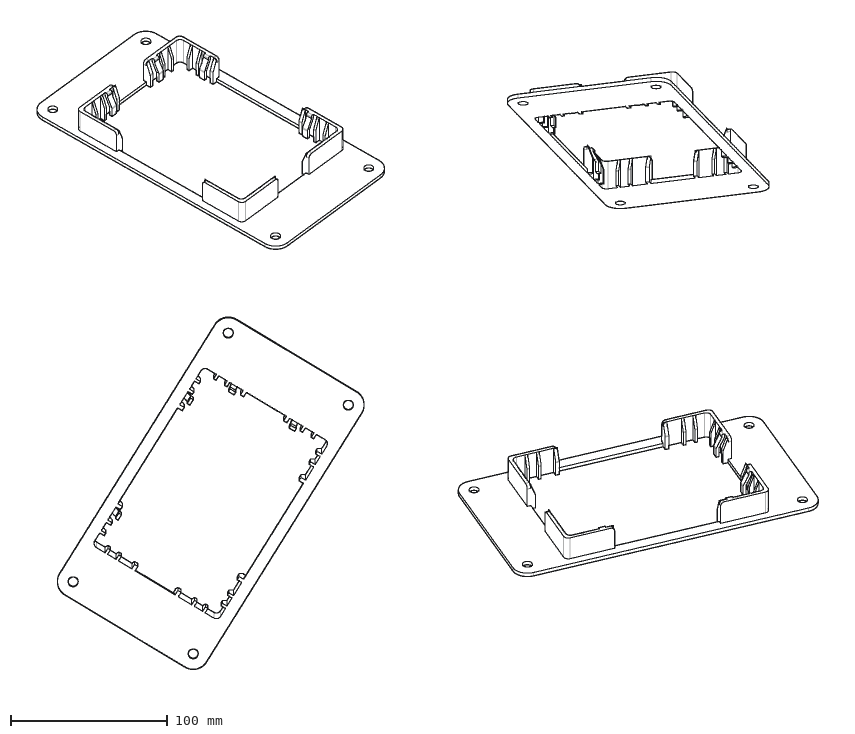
import cadquery as cq

PLATE_LENGTH = 210.0
PLATE_WIDTH = 110.0
PLATE_THICKNESS = 2.7
PLATE_CORNER_RADIUS = 10.0
HOLE_DIAMETER = 6.3

OPENING_HALF_LENGTH = 68.0
OPENING_HALF_WIDTH = 47.0
OPENING_CORNER_RADIUS = 3.2

TOTAL_HEIGHT = 19.0
WALL_THICKNESS = 2.5
WALL_CORNER_RADIUS = 3.2
WALL_TOP_ROUNDING = 2.7
GAP_HALF_LENGTH = 36.5
GAP_HALF_WIDTH = 15.0

RIB_DEPTH = 3.4
RIB_SLOPE_BOTTOM = 10.0
RIB_WIDTH = 1.9
END_RIB_WIDTH = 2.5
RIB_CENTRES_X = (58.0, 50.0)
RIB_CENTRES_Y = (36.5, 28.4)

ARM_DEPTH = 5.9
ARM_WIDTH = 4.2
ARM_STEP_DEPTH = 1.9
ARM_STEP_DROP = 2.3
ARM_SLOPE_BOTTOM = 8.8
ARM_BOTTOM = 2.0
ARM_THICKNESS = 2.0
ARM_CENTRE_X = 43.9
ARM_CENTRE_Y = 22.7

PROJECTION_ROUNDING = 1.0

SIGNS = (-1, 1)
ROOT = WALL_THICKNESS / 2


def make_plate():
    """Rounded plate with a hole concentric with each corner."""
    hole_spacing_x = PLATE_LENGTH - 2 * PLATE_CORNER_RADIUS
    hole_spacing_y = PLATE_WIDTH - 2 * PLATE_CORNER_RADIUS
    plate = cq.Workplane("XY").rect(PLATE_LENGTH, PLATE_WIDTH).extrude(PLATE_THICKNESS)
    plate = plate.edges("|Z").fillet(PLATE_CORNER_RADIUS)
    return (
        plate.faces(">Z").workplane()
        .rect(hole_spacing_x, hole_spacing_y, forConstruction=True)
        .vertices().hole(HOLE_DIAMETER)
    )


def rounded_block(half_length, half_width, radius):
    """Upright block of full height, centred on the part."""
    block = cq.Workplane("XY").rect(2 * half_length, 2 * half_width).extrude(TOTAL_HEIGHT)
    return block.edges("|Z").fillet(radius)


def gap_cutter(plane, half_gap, reach):
    """Cuts a gap through two opposite walls and rounds the wall tops beside it."""
    rounding_start = TOTAL_HEIGHT - WALL_TOP_ROUNDING
    half_top = half_gap + WALL_TOP_ROUNDING
    return (
        cq.Workplane(plane)
        .moveTo(-half_gap, PLATE_THICKNESS)
        .lineTo(half_gap, PLATE_THICKNESS)
        .lineTo(half_gap, rounding_start)
        .radiusArc((half_top, TOTAL_HEIGHT), WALL_TOP_ROUNDING)
        .lineTo(-half_top, TOTAL_HEIGHT)
        .radiusArc((-half_gap, rounding_start), WALL_TOP_ROUNDING)
        .close()
        .extrude(reach, both=True)
    )


def make_projection(profile, rounded_corners, width):
    """Extrude a (distance from wall, height) profile to a solid centred on the XZ plane.

    The edges at the rounded corners of the profile are filleted.
    """
    solid = cq.Workplane("XZ").polyline(profile).close().extrude(width / 2, both=True)
    for distance, height in rounded_corners:
        edge = solid.edges(cq.NearestToPointSelector((distance, 0, height)))
        solid = edge.fillet(PROJECTION_ROUNDING)
    return solid


def make_rib(width):
    """Triangular rib that runs out at the top of the wall."""
    slope_end = (RIB_DEPTH, RIB_SLOPE_BOTTOM)
    profile = [
        (-ROOT, 0),
        (RIB_DEPTH, 0),
        slope_end,
        (0, TOTAL_HEIGHT),
        (-ROOT, RIB_SLOPE_BOTTOM),
    ]
    return make_projection(profile, [slope_end], width)


def make_arm():
    """Snap arm: flush with the wall top, stepping down to a slope, with open space behind it."""
    slope_top = (ARM_STEP_DEPTH, TOTAL_HEIGHT - ARM_STEP_DROP)
    slope_end = (ARM_DEPTH, ARM_SLOPE_BOTTOM)
    step_corner = (ARM_STEP_DEPTH, TOTAL_HEIGHT)
    steepness = (slope_top[1] - slope_end[1]) / (slope_end[0] - slope_top[0])
    back_depth = ARM_DEPTH - ARM_THICKNESS
    back_bend = ARM_SLOPE_BOTTOM
    back_at_wall = back_bend + back_depth * steepness
    profile = [
        (-ROOT, back_at_wall),
        (0, back_at_wall),
        (back_depth, back_bend),
        (back_depth, ARM_BOTTOM),
        (ARM_DEPTH, ARM_BOTTOM),
        slope_end,
        slope_top,
        step_corner,
        (-ROOT, TOTAL_HEIGHT),
    ]
    return make_projection(profile, [slope_end, step_corner], ARM_WIDTH)


def place_on_wall(solid, face, centre, turn):
    """Set a projection on the -X wall at Y = centre, then turn it about Z to its wall."""
    return solid.translate((-face, centre, 0)).rotate((0, 0, 0), (0, 0, 1), turn)


walls = rounded_block(
    OPENING_HALF_LENGTH + WALL_THICKNESS,
    OPENING_HALF_WIDTH + WALL_THICKNESS,
    WALL_CORNER_RADIUS,
)
walls = walls.cut(gap_cutter("XZ", GAP_HALF_LENGTH, PLATE_WIDTH))
walls = walls.cut(gap_cutter("YZ", GAP_HALF_WIDTH, PLATE_LENGTH))
result = make_plate().union(walls)
result = result.cut(rounded_block(OPENING_HALF_LENGTH, OPENING_HALF_WIDTH, OPENING_CORNER_RADIUS))

rib = make_rib(RIB_WIDTH)
end_rib = make_rib(END_RIB_WIDTH)
for half_turn in (0, 180):
    for face, rib_centres, half_gap, turn in (
        (OPENING_HALF_LENGTH, RIB_CENTRES_Y, GAP_HALF_WIDTH, half_turn),
        (OPENING_HALF_WIDTH, RIB_CENTRES_X, GAP_HALF_LENGTH, half_turn + 90),
    ):
        for sign in SIGNS:
            for rib_centre in rib_centres:
                result = result.union(place_on_wall(rib, face, sign * rib_centre, turn))
            end_centre = half_gap + END_RIB_WIDTH / 2
            result = result.union(place_on_wall(end_rib, face, sign * end_centre, turn))

arm = make_arm()
for sign in SIGNS:
    result = result.union(place_on_wall(arm, OPENING_HALF_LENGTH, sign * ARM_CENTRE_Y, 0))
    result = result.union(place_on_wall(arm, OPENING_HALF_WIDTH, sign * ARM_CENTRE_X, -90))